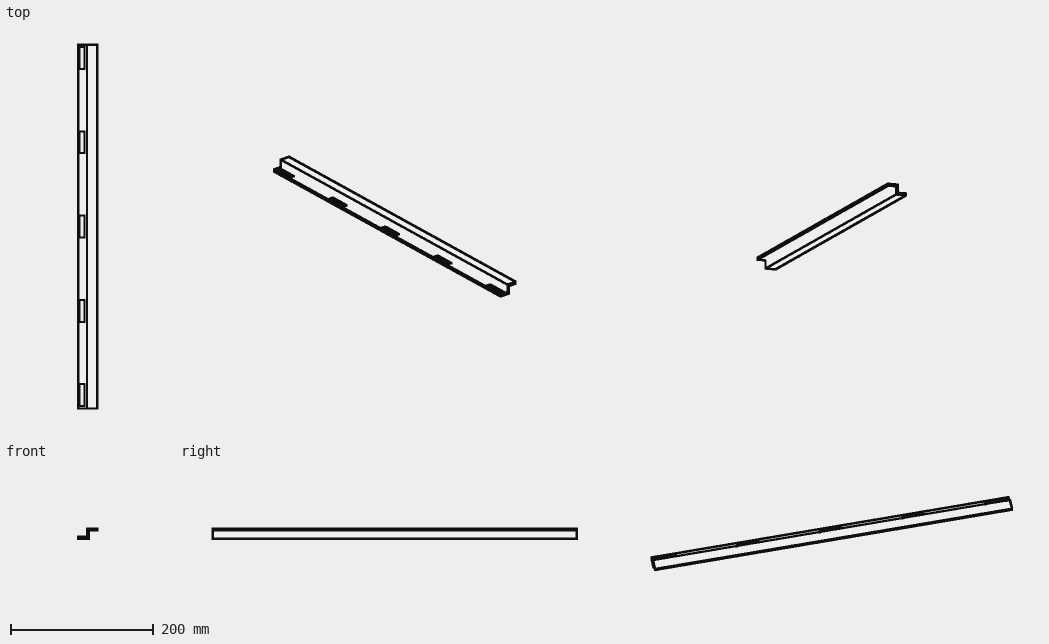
import cadquery as cq

width = 27.0
length = 510.0
height = 15.0
thickness = 3.0
web_left = 12.0
inner_fillet = 0.75

pocket_count = 5
pocket_width = 6.5
pocket_length = 30.5
pocket_depth = thickness / 2
pocket_side_margin = 2.0
pocket_end_margin = 3.5

web_right = web_left + thickness


def z_strip():
    """Z profile: lower flange to -X, central web, upper flange to +X."""
    outline = [
        (0, 0),
        (web_right, 0),
        (web_right, height - thickness),
        (width, height - thickness),
        (width, height),
        (web_left, height),
        (web_left, thickness),
        (0, thickness),
    ]
    strip = cq.Workplane("XZ").polyline(outline).close().extrude(-length)
    lower_corner = cq.selectors.NearestToPointSelector((web_left, length / 2, thickness))
    upper_corner = cq.selectors.NearestToPointSelector((web_right, length / 2, height - thickness))
    return strip.edges(lower_corner + upper_corner).fillet(inner_fillet)


def pocket(start_y):
    """Cutter for one pocket, sunk into the top of the lower flange."""
    floor_z = thickness - pocket_depth
    block = cq.Workplane("XY").box(pocket_width, pocket_length, pocket_depth, centered=False)
    return block.translate((pocket_side_margin, start_y, floor_z))


pocket_pitch = (length - 2 * pocket_end_margin - pocket_length) / (pocket_count - 1)

result = z_strip()
for index in range(pocket_count):
    result = result.cut(pocket(pocket_end_margin + index * pocket_pitch))